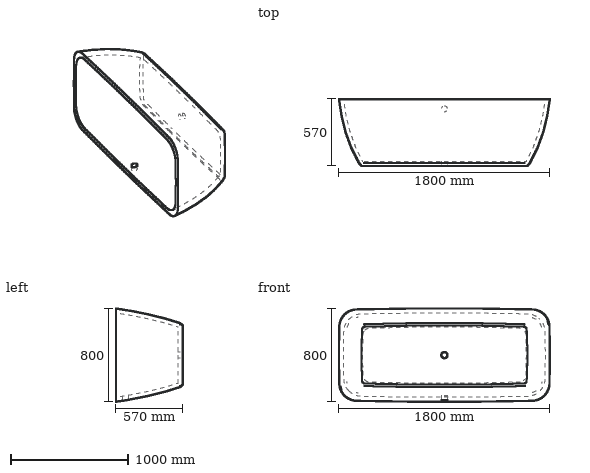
import cadquery as cq

length = 1800.0
width = 800.0
height = 570.0

base_length = 1415.0
base_width = 508.0
roll_height = 25.0
roll_depth = height - roll_height

end_bow = 7.0
side_bow = 13.0

rim_corner_radius = 153.0
lower_corner_radius = 54.0
base_corner_radius = 25.0

end_lean = 75.0
end_curl = 110.0
side_lean = 90.0
side_curl = 43.0
curl_power = 2.5

wall_thickness = 40.0
cavity_depth = height - wall_thickness
wall_steps = 4

drain_diameter = 50.0
overflow_diameter = drain_diameter
overflow_depth = 83.0


def inset(depth, lean, curl):
    """How far a curved wall has moved inward at a depth below the rim."""
    t = depth / height
    return lean * t + curl * t**curl_power


def rounded_outline(depth, half_length, half_width, corner_radius):
    """Closed outline of four bowed edges with round corners, at a depth below the rim."""
    corner_x = half_length - end_bow
    corner_z = half_width - side_bow
    outline = (
        cq.Workplane("XZ", origin=(0, -depth, 0))
        .moveTo(-corner_x, -corner_z)
        .threePointArc((0, -half_width), (corner_x, -corner_z))
        .threePointArc((half_length, 0), (corner_x, corner_z))
        .threePointArc((0, half_width), (-corner_x, corner_z))
        .threePointArc((-half_length, 0), (-corner_x, -corner_z))
        .close()
        .wire()
        .val()
    )
    return outline.fillet2D(corner_radius, outline.Vertices())


def wall_outline(depth, thickness=0.0):
    """Outline of the outer wall, or of the wall's inner face when a thickness is given."""
    half_length = length / 2 - inset(depth, end_lean, end_curl) - thickness
    half_width = width / 2 - inset(depth, side_lean, side_curl) - thickness
    taper = (rim_corner_radius - lower_corner_radius) / roll_depth
    return rounded_outline(depth, half_length, half_width, rim_corner_radius - taper * depth)


def wall_loft(full_depth, thickness=0.0):
    """Smooth body from the rim down to a depth."""
    outlines = [wall_outline(full_depth * i / wall_steps, thickness) for i in range(wall_steps + 1)]
    return cq.Solid.makeLoft(outlines)


def rolled_bottom():
    """Short tapered body that carries the walls in to the flat base."""
    base = rounded_outline(height, base_length / 2, base_width / 2, base_corner_radius)
    return cq.Solid.makeLoft([wall_outline(roll_depth), base], True)


def drain():
    """Hole through the middle of the floor."""
    return cq.Workplane("XZ").circle(drain_diameter / 2).extrude(height)


def overflow():
    """Hole through the -Z side wall, just below the rim."""
    plane = cq.Workplane("XY", origin=(0, -overflow_depth, 0))
    return plane.circle(overflow_diameter / 2).extrude(-width / 2)


outer = cq.Workplane(wall_loft(roll_depth)).union(cq.Workplane(rolled_bottom()))
cavity = cq.Workplane(wall_loft(cavity_depth, wall_thickness))
result = outer.cut(cavity).cut(drain()).cut(overflow())